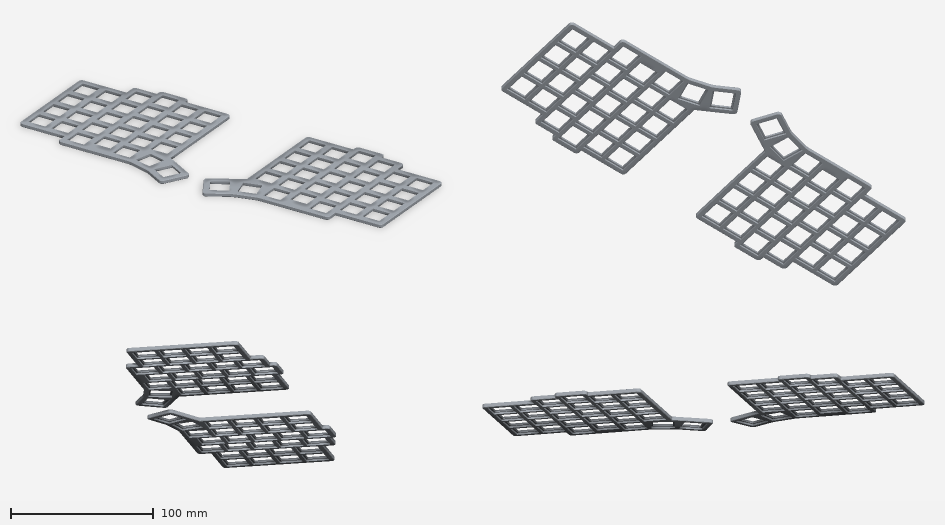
import cadquery as cq
import math

OVERALL_WIDTH = 301.0
OVERALL_DEPTH = 119.0
THICKNESS = 2.8

EDGE_CHAMFER = 0.35
LIP = 1.5
RELIEF = 1.2

THREE_KEY_SPAN = 57.2
PITCH = THREE_KEY_SPAN / 3
WEB = 5.0
MARGIN = 4.8
HOLE = PITCH - WEB
REACH = HOLE / 2 + MARGIN

TALL_DROP = 0.0
MIDDLE_DROP = 4.8
OUTER_DROP = 14.5
COLUMNS = [
    (OUTER_DROP, 4),
    (OUTER_DROP, 4),
    (MIDDLE_DROP, 5),
    (TALL_DROP, 5),
    (MIDDLE_DROP, 5),
    (MIDDLE_DROP, 4),
]
FIRST_COLUMN_X = -OVERALL_WIDTH / 2 + REACH
TALL_COLUMN_Y = OVERALL_DEPTH / 2 - REACH

INNER_THUMB = (-41.5, -36.0, -15.0)
OUTER_THUMB = (-21.7, -44.2, -30.0)

CORNER_RADIUS = 2.7
BEND_RADIUS = 16.5
SHARP = 0.0


def column_x(column):
    """X of the key centres in a column."""
    return FIRST_COLUMN_X + column * PITCH


def key_y(drop, row):
    """Y of the key centre in a row, counted from the top of a column."""
    return TALL_COLUMN_Y - drop - row * PITCH


def thumb_point(thumb, along, across):
    """Point at an offset from a thumb key's centre, along its own turned axes."""
    x, y, turn = thumb
    angle = math.radians(turn)
    return (
        x + along * math.cos(angle) - across * math.sin(angle),
        y + along * math.sin(angle) + across * math.cos(angle),
    )


def thumb_edge_x(thumb, across, y):
    """X where the thumb key's edge line at the given offset reaches height y."""
    edge_x, edge_y = thumb_point(thumb, 0, across)
    return edge_x + (y - edge_y) / math.tan(math.radians(thumb[2]))


def thumb_edge_y(thumb, across, x):
    """Y where the thumb key's edge line at the given offset reaches position x."""
    edge_x, edge_y = thumb_point(thumb, 0, across)
    return edge_y + (x - edge_x) * math.tan(math.radians(thumb[2]))


def thumb_bend():
    """Point where the lower edge lines of the two thumb keys cross."""
    inner_slope = math.tan(math.radians(INNER_THUMB[2]))
    outer_slope = math.tan(math.radians(OUTER_THUMB[2]))
    inner_y = thumb_edge_y(INNER_THUMB, -REACH, 0)
    outer_y = thumb_edge_y(OUTER_THUMB, -REACH, 0)
    x = (outer_y - inner_y) / (inner_slope - outer_slope)
    return (x, inner_y + inner_slope * x)


def round_upright_edge(plate, point, radius):
    """Round the upright edge that stands on one outline point."""
    x, y = point
    nearest = cq.selectors.NearestToPointSelector((x, y, THICKNESS / 2))
    return plate.edges("|Z").edges(nearest).fillet(radius)


def plate_blank():
    """Outline of the left plate, extruded, rounded and chamfered, without key holes."""
    left = column_x(0) - REACH
    step = column_x(2) - REACH
    tall_left = column_x(3) - REACH
    tall_right = column_x(3) + REACH
    right = column_x(5) + REACH
    outer_top = key_y(OUTER_DROP, 0) + REACH
    outer_bottom = key_y(OUTER_DROP, 3) - REACH
    middle_top = key_y(MIDDLE_DROP, 0) + REACH
    middle_bottom = key_y(MIDDLE_DROP, 4) - REACH
    tall_top = key_y(TALL_DROP, 0) + REACH

    inner_bend = (thumb_edge_x(INNER_THUMB, -REACH, middle_bottom), middle_bottom)
    neck = (right, thumb_edge_y(OUTER_THUMB, REACH, right))

    outline = [
        ((left, outer_bottom), CORNER_RADIUS),
        ((left, outer_top), CORNER_RADIUS),
        ((step, outer_top), SHARP),
        ((step, middle_top), CORNER_RADIUS),
        ((tall_left, middle_top), SHARP),
        ((tall_left, tall_top), CORNER_RADIUS),
        ((tall_right, tall_top), CORNER_RADIUS),
        ((tall_right, middle_top), SHARP),
        ((right, middle_top), CORNER_RADIUS),
        (neck, SHARP),
        (thumb_point(OUTER_THUMB, REACH, REACH), CORNER_RADIUS),
        (thumb_point(OUTER_THUMB, REACH, -REACH), CORNER_RADIUS),
        (thumb_bend(), BEND_RADIUS),
        (inner_bend, BEND_RADIUS),
        ((step, middle_bottom), CORNER_RADIUS),
        ((step, outer_bottom), SHARP),
    ]
    points = [point for point, radius in outline]
    blank = cq.Workplane("XY").polyline(points).close().extrude(THICKNESS)
    for point, radius in outline:
        if radius != SHARP:
            blank = round_upright_edge(blank, point, radius)
    return blank.faces("<Z or >Z").edges().chamfer(EDGE_CHAMFER)


def key_hole(x, y, turn):
    """Cutter for one square key hole, wider below the lip."""
    hole = cq.Workplane("XY").rect(HOLE, HOLE).extrude(THICKNESS)
    relief_side = HOLE + 2 * RELIEF
    relief = cq.Workplane("XY").rect(relief_side, relief_side).extrude(THICKNESS - LIP)
    hole = hole.union(relief)
    return hole.rotate((0, 0, 0), (0, 0, 1), turn).translate((x, y, 0))


def make_left_plate():
    """Left key plate with all its key holes."""
    keys = [INNER_THUMB, OUTER_THUMB]
    for column, (drop, count) in enumerate(COLUMNS):
        for row in range(count):
            keys.append((column_x(column), key_y(drop, row), 0))
    plate = plate_blank()
    for x, y, turn in keys:
        plate = plate.cut(key_hole(x, y, turn))
    return plate


left_plate = make_left_plate()
right_plate = left_plate.mirror("YZ")

result = cq.Compound.makeCompound([left_plate.val(), right_plate.val()])